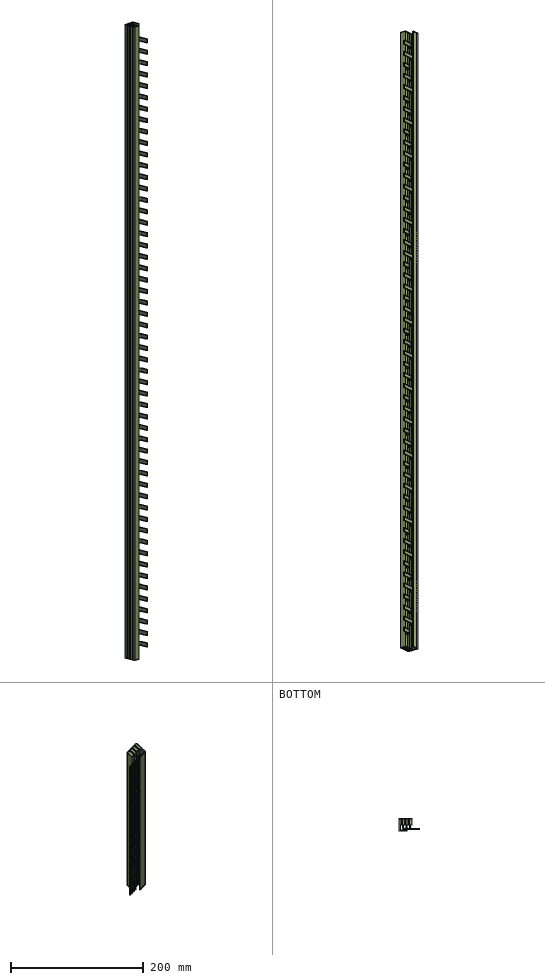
import cadquery as cq

length = 1000.0
body_x = 20.0
body_y = 19.0
back_wall = 3.7
floor_wall = 0.9
corner_radius = 0.8

phase_count = 3
phase_pitch = 5.3
slot_width = 3.0
bar_thickness = 1.5
slot_top = 10.0

channel_wall = 2.5
lip_thickness = 1.5
lip_reach = 12.0

pin_tip = 31.1
pin_bottom = 15.0
pin_width = 6.0
pin_pitch = 18.0
pin_count = 54
bend_radius = 2.0
first_pin_phase = phase_count - 1

pin_top = pin_bottom + bar_thickness
first_pin_z = (length - pin_pitch * (pin_count - 1)) / 2


def full_length_block(x0, x1, y0, y1):
    """Rectangular block over the full length."""
    return cq.Workplane("XY").box(x1 - x0, y1 - y0, length, centered=False).translate((x0, y0, 0))


def slot_start(phase):
    return back_wall + phase_pitch * phase


def bar_back(phase):
    """X of the back (-X) side of a bar, which lies against the +X wall of its slot."""
    return slot_start(phase) + slot_width - bar_thickness


def make_housing():
    """Profile with rounded back edges, the pin channel under its lip, and the slots."""
    housing = full_length_block(0, body_x, 0, body_y).edges("|Z and <X").fillet(corner_radius)
    channel = full_length_block(channel_wall, body_x, slot_top, body_y - lip_thickness)
    open_corner = full_length_block(lip_reach, body_x, slot_top, body_y)
    housing = housing.cut(channel).cut(open_corner)
    for phase in range(phase_count):
        start = slot_start(phase)
        housing = housing.cut(full_length_block(start, start + slot_width, floor_wall, slot_top))
    return housing


def make_bar(phase):
    """Flat bar standing on the floor of its slot."""
    back = bar_back(phase)
    return full_length_block(back, back + bar_thickness, floor_wall, slot_top)


def make_pin(phase, z_centre):
    """Tab rising from the top of its bar and bent over towards +X."""
    back = bar_back(phase)
    front = back + bar_thickness
    bend_end = front + bend_radius
    bend_start = pin_bottom - bend_radius
    outer_radius = bend_radius + bar_thickness
    return (
        cq.Workplane("XY", origin=(0, 0, z_centre - pin_width / 2))
        .moveTo(back, slot_top)
        .lineTo(back, bend_start)
        .radiusArc((bend_end, pin_top), outer_radius)
        .lineTo(pin_tip, pin_top)
        .lineTo(pin_tip, pin_bottom)
        .lineTo(bend_end, pin_bottom)
        .radiusArc((front, bend_start), -bend_radius)
        .lineTo(front, slot_top)
        .close()
        .extrude(pin_width)
    )


def make_pins():
    """Row of evenly spaced pins that takes the phases in turn."""
    pins = []
    for number in range(pin_count):
        phase = (first_pin_phase + number) % phase_count
        pins.append(make_pin(phase, first_pin_z + pin_pitch * number).val())
    return cq.Workplane("XY").newObject([cq.Compound.makeCompound(pins)])


result = make_housing()
for phase in range(phase_count):
    result = result.union(make_bar(phase))
result = result.union(make_pins())